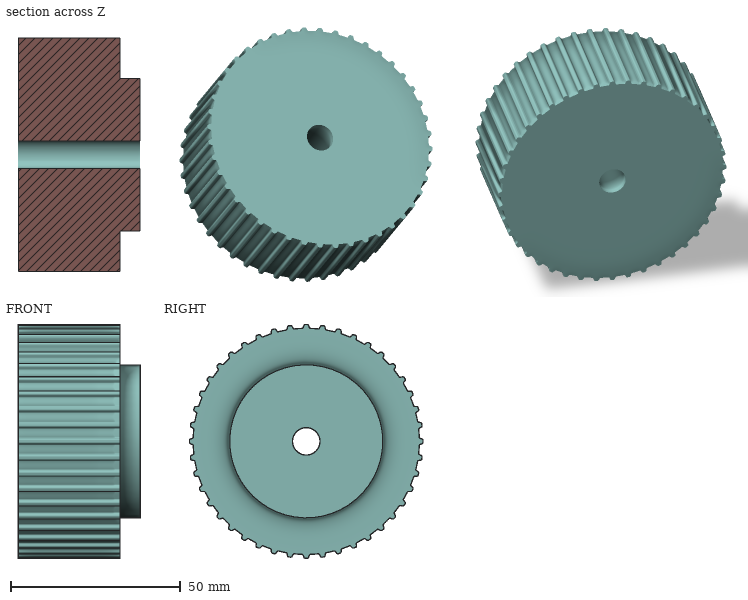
import cadquery as cq
import math

tooth_count = 44
tip_diameter = 68.8
toothed_width = 30.0
hub_diameter = 45.0
hub_length = 6.0
bore_diameter = 8.0

gap_depth = 1.1
gap_floor_width = 2.75
flank_angle = 24
root_fillet = 0.3
tip_fillet = 0.5

tip_radius = tip_diameter / 2
root_radius = tip_radius - gap_depth
pitch_angle = 360.0 / tooth_count
flank_slope = math.tan(math.radians(flank_angle))
cutter_overshoot = 1.0
tip_edge_tolerance = 0.01
cutter_top_radius = tip_radius + cutter_overshoot


def make_gap_cutter():
    """Bar that cuts the gap between two teeth, pointing along +Z."""
    floor_half = gap_floor_width / 2
    floor_edge_height = math.sqrt(root_radius**2 - floor_half**2)
    top_half = floor_half + (cutter_top_radius - root_radius) * flank_slope
    return (
        cq.Workplane("YZ")
        .moveTo(-top_half, cutter_top_radius)
        .lineTo(-floor_half, floor_edge_height)
        .threePointArc((0, root_radius), (floor_half, floor_edge_height))
        .lineTo(top_half, cutter_top_radius)
        .close()
        .extrude(toothed_width)
        .edges("|X and (not >Z)")
        .fillet(root_fillet)
    )


def is_tip_edge(edge):
    """True for an edge that lies on the tip circle."""
    center = edge.Center()
    return math.isclose(math.hypot(center.y, center.z), tip_radius, abs_tol=tip_edge_tolerance)


def make_tooth_ring():
    """Toothed disc, with one tooth centred on +Z and the tip corners rounded."""
    disc = cq.Workplane("YZ").circle(tip_radius).extrude(toothed_width)
    cutter = make_gap_cutter()
    for index in range(tooth_count):
        angle = (index + 0.5) * pitch_angle
        disc = disc.cut(cutter.rotate((0, 0, 0), (1, 0, 0), angle))
    return disc.edges("|X").filter(is_tip_edge).fillet(tip_fillet)


def make_hub():
    """Plain cylindrical hub on the +X face of the toothed disc."""
    return cq.Workplane("YZ").workplane(offset=toothed_width).circle(hub_diameter / 2).extrude(hub_length)


def make_bore():
    """Cylinder that cuts the bore through the disc and the hub."""
    return cq.Workplane("YZ").circle(bore_diameter / 2).extrude(toothed_width + hub_length)


result = make_tooth_ring().union(make_hub()).cut(make_bore())